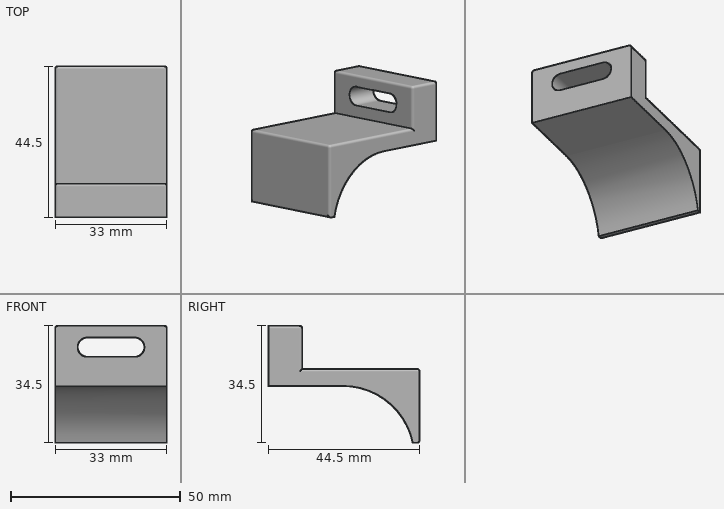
import cadquery as cq
import math

width = 33.0
depth = 44.55
height = 34.55

wall_thickness = 10.0
plate_top = 21.85
plate_bottom = 16.75
leg_foot = 2.05
arc_start = 21.97
edge_radius = 0.8

slot_length = 19.6
slot_height = 5.6
slot_center_z = 28.2


def side_profile():
    """Body extruded along X, with the arc tangent to the underside of the plate."""
    foot_inner = depth - leg_foot
    run = foot_inner - arc_start
    arc_radius = (run**2 + plate_bottom**2) / (2 * plate_bottom)
    half_sweep = math.atan2(run, arc_radius - plate_bottom) / 2
    arc_middle = (
        arc_start + arc_radius * math.sin(half_sweep),
        plate_bottom - arc_radius * (1 - math.cos(half_sweep)),
    )
    return (
        cq.Workplane("YZ")
        .moveTo(0, plate_bottom)
        .lineTo(arc_start, plate_bottom)
        .threePointArc(arc_middle, (foot_inner, 0))
        .lineTo(depth, 0)
        .lineTo(depth, plate_top)
        .lineTo(wall_thickness, plate_top)
        .lineTo(wall_thickness, height)
        .lineTo(0, height)
        .close()
        .extrude(width / 2, both=True)
    )


def round_edges(body):
    """Round the borders of the upper and rear faces, leaving the inside corner sharp."""
    plate_face = cq.selectors.NearestToPointSelector((0, depth / 2, plate_top))
    wall_face = cq.selectors.NearestToPointSelector((0, wall_thickness, (plate_top + height) / 2))
    rounded_edges = (
        body.faces(">Z").edges("not <Y")
        .add(body.faces(">Y").edges())
        .add(body.faces(plate_face).edges("|Y"))
        .add(body.faces(wall_face).edges("|Z"))
    )
    return rounded_edges.fillet(edge_radius)


def slot_cutter():
    """Round-ended slot running through the mounting wall."""
    return (
        cq.Workplane("XZ", origin=(0, 0, slot_center_z))
        .slot2D(slot_length, slot_height)
        .extrude(-wall_thickness)
    )


result = round_edges(side_profile()).cut(slot_cutter())